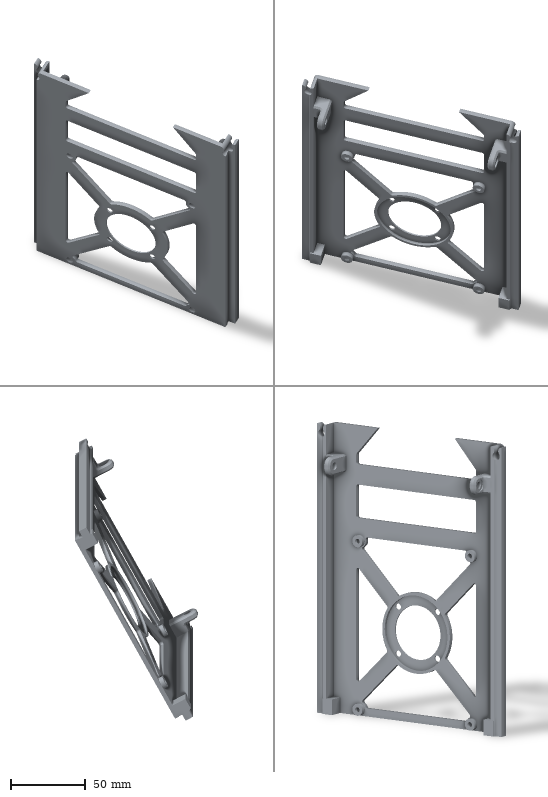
import cadquery as cq
import math

WIDTH = 150.7
HEIGHT = 197.0
DEPTH = 22.9

PLATE_THICKNESS = 3.0
PLATE_HALF_WIDTH = 71.0
RAIL_OUTER_X = 70.5
RAIL_INNER_X = 67.2
RAIL_DEPTH = 11.8
RAIL_CHAMFER = 0.8
TONGUE_FRONT = 5.5
TONGUE_BACK = 11.0

KEYHOLE_X = 71.3
KEYHOLE_DIAMETER = 5.3
KEYHOLE_NECK = 2.8
KEYHOLE_LIP_RADIUS = 2.8

WINDOW_HALF_WIDTH = 48.9
CORNER_RADIUS = 1.4
NOTCH_BOTTOM = 170.6
NOTCH_SHOULDER = 177.7
NOTCH_TOP_HALF_WIDTH = 31.5
SLOT_BOTTOM = 134.2
SLOT_TOP = 157.0
FRAME_BOTTOM = 5.3
FRAME_TOP = 121.8

FAN_Z = 61.0
RING_DIAMETER = 108.7
FAN_RECESS_DIAMETER = 100.9
FAN_FLOOR = 1.0
FAN_BORE = 72.98
FAN_HOLE_OFFSET = 16.0
FAN_HOLE_DIAMETER = 8.541
SPOKE_WIDTH = 11.0
UPPER_SPOKE_ANGLE = 45
LOWER_SPOKE_ANGLE = 44.4

BOSS_X = 46.0
BOSS_LOW_Z = 4.3
BOSS_HIGH_Z = 119.0
BOSS_DIAMETER = 15.92
BOSS_PAD_DIAMETER = 18.63
BOSS_HEIGHT = 3.0
BOSS_HOLE = 6.988
BOSS_COUNTERBORE = 9.705
BOSS_COUNTERBORE_DEPTH = 4.0

BRACKET_BACK = 12.2
BRACKET_FILLET = 1.2
EAR_OUTER_X = 61.9
EAR_INNER_X = 57.0
EAR_Z = 170.6
EAR_HEIGHT = 12.2
EAR_RADIUS = 5.0
EAR_CHAMFER = 1.2
EAR_HOLE_Y = 16.7
EAR_HOLE = 5.0
EAR_COUNTERBORE = 8.0
EAR_COUNTERBORE_DEPTH = 1.0
FOOT_OUTER_X = 69.5
FOOT_HEIGHT = 10.6
FOOT_BACK = 12.6


def block(x0, x1, y0, y1, z0, z1):
    """Box between two opposite corners."""
    return cq.Workplane("XY").box(x1 - x0, y1 - y0, z1 - z0, centered=False).translate((x0, y0, z0))


def rod(x, z, diameter, y0, y1):
    """Cylinder along Y."""
    return cq.Workplane("XZ", origin=(x, y0, z)).circle(diameter / 4).extrude(y0 - y1)


def both_sides(feature):
    """A feature together with its mirror image across X = 0."""
    return feature.union(feature.mirror("YZ"))


def top_notch():
    outline = [
        (-WINDOW_HALF_WIDTH, NOTCH_BOTTOM),
        (WINDOW_HALF_WIDTH, NOTCH_BOTTOM),
        (WINDOW_HALF_WIDTH, NOTCH_SHOULDER),
        (NOTCH_TOP_HALF_WIDTH, HEIGHT),
        (-NOTCH_TOP_HALF_WIDTH, HEIGHT),
        (-WINDOW_HALF_WIDTH, NOTCH_SHOULDER),
    ]
    notch = cq.Workplane("XZ").polyline(outline).close().extrude(-PLATE_THICKNESS)
    rounded_zone = cq.selectors.BoxSelector(
        (-WIDTH, -DEPTH, 0), (WIDTH, DEPTH, (NOTCH_SHOULDER + HEIGHT) / 2)
    )
    return notch.edges("|Y").edges(rounded_zone).fillet(CORNER_RADIUS)


def slot():
    opening = block(-WINDOW_HALF_WIDTH, WINDOW_HALF_WIDTH, 0, PLATE_THICKNESS, SLOT_BOTTOM, SLOT_TOP)
    return opening.edges("|Y").fillet(CORNER_RADIUS)


def fan_openings():
    """The window around the fan, less the ring, spokes and boss pads that stay."""
    opening = block(-WINDOW_HALF_WIDTH, WINDOW_HALF_WIDTH, 0, PLATE_THICKNESS, FRAME_BOTTOM, FRAME_TOP)
    opening = opening.cut(rod(0, FAN_Z, RING_DIAMETER, 0, PLATE_THICKNESS))
    spoke = block(0, WIDTH, 0, PLATE_THICKNESS, -SPOKE_WIDTH / 2, SPOKE_WIDTH / 2)
    for elevation in (UPPER_SPOKE_ANGLE, -LOWER_SPOKE_ANGLE):
        right_spoke = spoke.rotate((0, 0, 0), (0, 1, 0), -elevation).translate((0, 0, FAN_Z))
        opening = opening.cut(both_sides(right_spoke))
    for x, z in boss_places():
        opening = opening.cut(rod(x, z, BOSS_PAD_DIAMETER, 0, PLATE_THICKNESS))
    openings = cq.Workplane("XY")
    smallest_opening = RING_DIAMETER * PLATE_THICKNESS
    for piece in opening.solids().vals():
        if piece.Volume() > smallest_opening:
            openings = openings.add(cq.Workplane(piece).edges("|Y").fillet(CORNER_RADIUS))
    return openings.combine()


def boss_places():
    return [(x, z) for x in (-BOSS_X, BOSS_X) for z in (BOSS_LOW_Z, BOSS_HIGH_Z)]


def plate():
    body = block(-PLATE_HALF_WIDTH, PLATE_HALF_WIDTH, 0, PLATE_THICKNESS, 0, HEIGHT)
    body = body.cut(top_notch()).cut(slot()).cut(fan_openings())
    body = body.cut(rod(0, FAN_Z, FAN_RECESS_DIAMETER, FAN_FLOOR, PLATE_THICKNESS))
    body = body.cut(rod(0, FAN_Z, FAN_BORE, 0, PLATE_THICKNESS))
    for dx in (-FAN_HOLE_OFFSET, FAN_HOLE_OFFSET):
        for dz in (-FAN_HOLE_OFFSET, FAN_HOLE_OFFSET):
            body = body.cut(rod(dx, FAN_Z + dz, FAN_HOLE_DIAMETER, 0, PLATE_THICKNESS))
    boss_top = PLATE_THICKNESS + BOSS_HEIGHT
    for x, z in boss_places():
        body = body.union(rod(x, z, BOSS_DIAMETER, 0, boss_top))
        body = body.cut(rod(x, z, BOSS_HOLE, 0, boss_top))
        body = body.cut(rod(x, z, BOSS_COUNTERBORE, 0, BOSS_COUNTERBORE_DEPTH))
    return body


def left_rail():
    """Wall behind the plate edge with an outward tongue along its full length."""
    wall = block(-RAIL_OUTER_X, -RAIL_INNER_X, 0, RAIL_DEPTH, 0, HEIGHT)
    wall = wall.edges("|Z").edges("<X and >Y").chamfer(RAIL_CHAMFER)
    tongue = block(-WIDTH / 2, -RAIL_INNER_X, TONGUE_FRONT, TONGUE_BACK, 0, HEIGHT)
    return wall.union(tongue)


def left_keyhole():
    """Round hole opening upward through a neck, each lip an arc tangent to the hole and the top edge."""
    radius = KEYHOLE_DIAMETER / 2
    lip = KEYHOLE_LIP_RADIUS
    half_neck = KEYHOLE_NECK / 2
    lip_x = half_neck + lip
    lip_z = HEIGHT - lip
    hole_z = lip_z - math.sqrt((radius + lip) ** 2 - lip_x**2)
    share = radius / (radius + lip)
    tangent_x = lip_x * share
    tangent_z = hole_z + (lip_z - hole_z) * share
    return (
        cq.Workplane("XZ", origin=(-KEYHOLE_X, 0, 0))
        .moveTo(-lip_x, HEIGHT)
        .threePointArc((-half_neck, lip_z), (-tangent_x, tangent_z))
        .threePointArc((0, hole_z - radius), (tangent_x, tangent_z))
        .threePointArc((half_neck, lip_z), (lip_x, HEIGHT))
        .close()
        .extrude(-DEPTH)
    )


def left_bracket():
    """L-shaped block beside the rail whose back leg is a rounded ear with a counterbored hole."""
    low = EAR_Z - EAR_HEIGHT / 2
    high = EAR_Z + EAR_HEIGHT / 2
    bracket = block(-EAR_OUTER_X, -EAR_INNER_X, 0, DEPTH, low, high)
    bracket = bracket.union(block(-RAIL_INNER_X, -EAR_INNER_X, 0, BRACKET_BACK, low, high))
    inside_corner = cq.selectors.NearestToPointSelector((-EAR_OUTER_X, BRACKET_BACK, EAR_Z))
    bracket = bracket.edges("|Z").edges(inside_corner).fillet(BRACKET_FILLET)
    bracket = bracket.edges("|X and >Y").fillet(EAR_RADIUS)
    bracket = bracket.edges("|Z and >Y").chamfer(EAR_CHAMFER)
    hole = cq.Workplane("YZ", origin=(-EAR_OUTER_X, EAR_HOLE_Y, EAR_Z))
    bracket = bracket.cut(hole.circle(EAR_HOLE / 2).extrude(EAR_OUTER_X - EAR_INNER_X))
    return bracket.cut(hole.circle(EAR_COUNTERBORE / 2).extrude(EAR_COUNTERBORE_DEPTH))


def left_foot():
    return block(-FOOT_OUTER_X, -EAR_OUTER_X, 0, FOOT_BACK, 0, FOOT_HEIGHT)


left_side = left_rail().union(left_bracket()).union(left_foot())
result = plate().union(both_sides(left_side)).cut(both_sides(left_keyhole()))